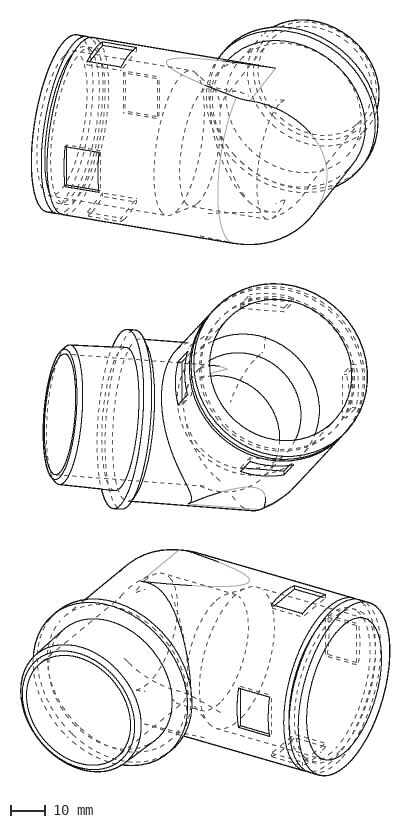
import cadquery as cq
import math


socket_length = 59.5
socket_radius = 26.0
dome_center = -2.1

groove_offset = 3.1
groove_width = 1.8
groove_radius = 23.0

pocket_offset = 10.1
pocket_length = 10.4
pocket_width = 13.0
pocket_depth = 2.0

neck_radius = 23.5
flange_radius = socket_radius
flange_start = 28.05
flange_end = 32.0
flange_chamfer_height = 1.5
spigot_end = 50.0
spigot_root_radius = 20.8
spigot_taper = 1 / 32
tip_chamfer = 1.4

mouth_bore_radius = 42.5 / 2
mouth_depth = 36.0
passage_radius = 35.0 / 2
reducer_angle = math.radians(30.0)

flat_angle = math.radians(5.0)


def disc_along_x(start, length, radius):
    return cq.Workplane("YZ", origin=(start, 0, 0)).circle(radius).extrude(length)


def corner_limit():
    """The ball that rounds the bend, plus all space on the spigot side of it."""
    reach = 3 * socket_length
    spigot_side = cq.Workplane("XZ").rect(reach, reach).extrude(-reach)
    ball = cq.Workplane("XY").sphere(socket_radius).translate((dome_center, 0, 0))
    return spigot_side.union(ball)


def socket_leg(corner):
    """Socket cylinder narrowed by two sloping flats tangent to the neck cylinder."""
    tangent_x = neck_radius * math.sin(flat_angle)
    tangent_z = neck_radius * math.cos(flat_angle)
    mouth_z = tangent_z + (socket_length + tangent_x) * math.tan(flat_angle)
    wedge = (
        cq.Workplane("XZ")
        .moveTo(-socket_length, -mouth_z)
        .lineTo(tangent_x, -tangent_z)
        .lineTo(tangent_x, tangent_z)
        .lineTo(-socket_length, mouth_z)
        .close()
        .extrude(socket_radius, both=True)
    )
    straight = disc_along_x(-socket_length, socket_length + dome_center, socket_radius)
    cylinder = disc_along_x(-socket_length, socket_length + tangent_x, socket_radius)
    return cylinder.intersect(corner.union(straight)).intersect(wedge)


def spigot_leg(corner):
    """Neck, flange and tapered spigot turned about the Y axis."""
    chamfer_start = spigot_end - tip_chamfer
    tip_radius = spigot_root_radius - spigot_taper * (chamfer_start - flange_end)
    turned = (
        cq.Workplane("XY")
        .moveTo(0, -socket_radius)
        .lineTo(neck_radius, -socket_radius)
        .lineTo(neck_radius, flange_start)
        .lineTo(flange_radius, flange_start + flange_chamfer_height)
        .lineTo(flange_radius, flange_end)
        .lineTo(spigot_root_radius, flange_end)
        .lineTo(tip_radius, chamfer_start)
        .lineTo(tip_radius - tip_chamfer, spigot_end)
        .lineTo(0, spigot_end)
        .close()
        .revolve(360, (0, 0, 0), (0, 1, 0))
    )
    return turned.intersect(corner)


def ring_groove():
    start = groove_offset - socket_length
    blank = disc_along_x(start, groove_width, socket_radius)
    return blank.cut(disc_along_x(start, groove_width, groove_radius))


def pocket(angle):
    """Flat-floored pocket in the socket wall, turned about the X axis."""
    center_x = pocket_offset + pocket_length / 2 - socket_length
    block = cq.Workplane("XY").box(pocket_length, pocket_width, 2 * pocket_depth)
    block = block.translate((center_x, 0, socket_radius))
    return block.rotate((0, 0, 0), (1, 0, 0), angle)


def socket_passage():
    """Mouth bore, reducer and straight run with a domed end, turned about the X axis."""
    mouth_end = mouth_depth - socket_length
    reducer_end = mouth_end + (mouth_bore_radius - passage_radius) / math.tan(reducer_angle)
    dome_radius = passage_radius - dome_center
    dome_rim_x = dome_center + math.sqrt(dome_radius**2 - passage_radius**2)
    middle_angle = math.asin(passage_radius / dome_radius) / 2
    dome_middle = (
        dome_center + dome_radius * math.cos(middle_angle),
        dome_radius * math.sin(middle_angle),
    )
    return (
        cq.Workplane("XY")
        .moveTo(-socket_length, 0)
        .lineTo(-socket_length, mouth_bore_radius)
        .lineTo(mouth_end, mouth_bore_radius)
        .lineTo(reducer_end, passage_radius)
        .lineTo(dome_rim_x, passage_radius)
        .threePointArc(dome_middle, (passage_radius, 0))
        .close()
        .revolve(360, (0, 0, 0), (1, 0, 0))
    )


def spigot_bore():
    return cq.Workplane("XZ").circle(passage_radius).extrude(-spigot_end)


corner = corner_limit()
socket = socket_leg(corner)
socket = socket.cut(ring_groove())
for angle in (0, 90, 180, 270):
    socket = socket.cut(pocket(angle))

result = socket.union(spigot_leg(corner))
result = result.cut(socket_passage()).cut(spigot_bore()).solids()